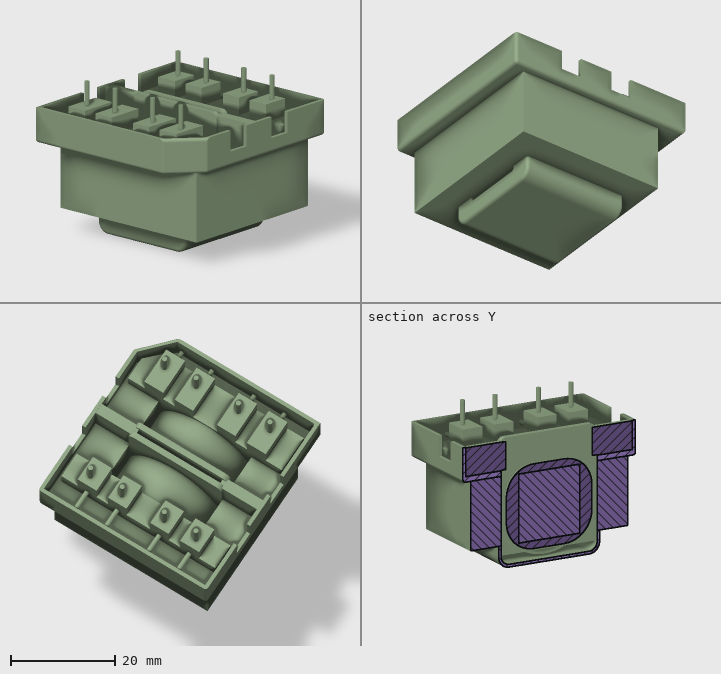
import cadquery as cq

TRAY_X = 38.25
TRAY_Y = 40.65
TOP_Z = 30.7

TRAY_BOTTOM = 18.4
TRAY_TOP = 25.5
TRAY_WALL = 0.77
FLOOR_Z = 19.65
TRAY_BEVEL = (5.85, 6.35)
EDGE_RADIUS = 0.65
INNER_CORNER_RADIUS = 0.4
NOTCH_BOTTOM = 21.3
NOTCH_WIDTH = 4.65
NOTCH_SPACING = 11.9

CORE_X = 34.8
CORE_Y = 32.3
CORE_OFFSET_Y = 1.077
CORE_BOTTOM = 4.47
LEG_WIDTH = 13.58

FLANGE_X = 21.15
FLANGE_THICKNESS = 1.18
FLANGE_GAP = 0.98
FLANGE_CORNER = 1.25
TUBE_X = 19.02
TUBE_Z = 17.07
TUBE_CORNER = 6.18
RIB_WIDTH = 2.2
RIB_TOP = 25.35

WINDING_RADIUS = 10.45
WINDING_END_Y = 9.15

BLOCK_X = 35.05
BLOCK_TOP = 25.95
STEP_TOP = 22.45
REAR_BLOCK_END = 14.65
FRONT_BLOCK_END = 16.95
END_PLATE_THICKNESS = 0.77
BLOCK_BEVEL = (3.0, 3.0)
OUTER_POST_X = 11.65
OUTER_POST_WIDTH = 4.3
INNER_POST_X = 4.8
INNER_POST_WIDTH = 4.2

PIN_DIAMETER = 0.98
OUTER_PIN_X = 12.0
PIN_OFFSET_X = 0.1
REAR_PIN_Y = 12.75
FRONT_PIN_Y = -13.65
LEAD_Z = 22.1
LEAD_END_Y = 19.25

COVER_X = 22.45
COVER_Y = 23.1
COVER_OFFSET_Y = 0.12
COVER_CORNER = 2.4
COVER_NOTCH_DEPTH = 0.95

AXIS_Z = (CORE_BOTTOM + TRAY_BOTTOM) / 2
FLANGE_OUTER_Y = FLANGE_GAP / 2 + FLANGE_THICKNESS
COVER_WALL = (COVER_X - FLANGE_X) / 2
WINDOW_END_Y = WINDING_END_Y + END_PLATE_THICKNESS
SIDES = (-1, 1)


def box(x_range, y_range, z_range):
    """A box given by its limits along each axis."""
    (x0, x1), (y0, y1), (z0, z1) = x_range, y_range, z_range
    return cq.Workplane("XY").box(x1 - x0, y1 - y0, z1 - z0, centered=False).translate((x0, y0, z0))


def centred(size):
    """The limits of a length centred on zero."""
    return (-size / 2, size / 2)


def beveled_outline(x_size, y_range, bevel, z):
    """A rectangle whose +X, -Y corner is cut off, with the given legs along X and Y."""
    bevel_x, bevel_y = bevel
    half = x_size / 2
    front, rear = y_range
    return cq.Workplane("XY").workplane(offset=z).polyline([
        (-half, front),
        (half - bevel_x, front),
        (half, front + bevel_y),
        (half, rear),
        (-half, rear),
    ]).close()


def winding_window(z_range):
    """The opening for the winding, its bobbin and the end plates."""
    return box(centred(FLANGE_X), centred(2 * WINDOW_END_Y), z_range)


def centre_leg():
    """The middle leg of the core, from end to end of the window."""
    return box(centred(LEG_WIDTH), centred(2 * WINDOW_END_Y), (CORE_BOTTOM, TRAY_BOTTOM))


def make_tray():
    tray = beveled_outline(TRAY_X, centred(TRAY_Y), TRAY_BEVEL, TRAY_BOTTOM).extrude(TRAY_TOP - TRAY_BOTTOM)

    mid_z = (TRAY_BOTTOM + TRAY_TOP) / 2
    bevel_x = TRAY_X / 2 - TRAY_BEVEL[0]
    bevel_y = TRAY_BEVEL[1] - TRAY_Y / 2
    bevel_edges = (
        (bevel_x, -TRAY_Y / 2, mid_z),
        (TRAY_X / 2, bevel_y, mid_z),
        ((bevel_x + TRAY_X / 2) / 2, (bevel_y - TRAY_Y / 2) / 2, TRAY_TOP),
    )
    rounded = tray.edges("|Z and >Y")
    for point in bevel_edges:
        rounded = rounded.add(tray.edges(cq.selectors.NearestToPointSelector(point)))
    tray = rounded.fillet(EDGE_RADIUS)
    tray = tray.faces("<Z").edges().fillet(EDGE_RADIUS)

    cavity = (
        beveled_outline(TRAY_X, centred(TRAY_Y), TRAY_BEVEL, FLOOR_Z)
        .offset2D(-TRAY_WALL, "intersection")
        .extrude(TRAY_TOP - FLOOR_Z)
        .edges("|Z and <X and <Y").fillet(INNER_CORNER_RADIUS)
    )
    tray = tray.cut(cavity).cut(winding_window((TRAY_BOTTOM, FLOOR_Z)))

    for side in SIDES:
        notch_y = CORE_OFFSET_Y + side * NOTCH_SPACING / 2
        y_range = (notch_y - NOTCH_WIDTH / 2, notch_y + NOTCH_WIDTH / 2)
        tray = tray.cut(box(centred(TRAY_X), y_range, (NOTCH_BOTTOM, TRAY_TOP)))
    return tray


def make_core():
    z_range = (CORE_BOTTOM, TRAY_BOTTOM)
    y_range = (CORE_OFFSET_Y - CORE_Y / 2, CORE_OFFSET_Y + CORE_Y / 2)
    core = box(centred(CORE_X), y_range, z_range).cut(winding_window(z_range))
    return core.union(centre_leg())


def tube_body():
    """The bobbin tube as a solid bar, without its bore."""
    z_range = (AXIS_Z - TUBE_Z / 2, AXIS_Z + TUBE_Z / 2)
    bar = box(centred(TUBE_X), centred(2 * WINDING_END_Y), z_range)
    return bar.edges("|Y").fillet(TUBE_CORNER)


def make_bobbin():
    bobbin = tube_body()
    for side in SIDES:
        y_range = sorted((side * FLANGE_GAP / 2, side * FLANGE_OUTER_Y))
        flange = box(centred(FLANGE_X), y_range, (COVER_CORNER, BLOCK_TOP))
        bobbin = bobbin.union(flange.edges("|Y and >Z").fillet(FLANGE_CORNER))

    rib_end = TRAY_X / 2 - TRAY_WALL
    for x_range in ((-rib_end, -TUBE_X / 2), (TUBE_X / 2, rib_end)):
        bobbin = bobbin.union(box(x_range, centred(RIB_WIDTH), (FLOOR_Z, RIB_TOP)))
    return bobbin.cut(centre_leg())


def make_winding(side):
    """The winding between a flange and the end of the tube on the given side in Y."""
    start = min(side * FLANGE_OUTER_Y, side * WINDING_END_Y)
    length = WINDING_END_Y - FLANGE_OUTER_Y
    cylinder = cq.Workplane("XZ", origin=(0, start, AXIS_Z)).circle(WINDING_RADIUS).extrude(-length)
    return cylinder.cut(tube_body())


def make_terminal_block(side):
    """A stepped block with four posts, each with an upright pin and a lead towards the tray wall."""
    if side > 0:
        block_end = REAR_BLOCK_END
        pin_y = REAR_PIN_Y
        y_range = (WINDING_END_Y, block_end)
        block = box(centred(BLOCK_X), y_range, (FLOOR_Z, STEP_TOP))
    else:
        block_end = FRONT_BLOCK_END
        pin_y = FRONT_PIN_Y
        y_range = (-block_end, -WINDING_END_Y)
        block = beveled_outline(BLOCK_X, y_range, BLOCK_BEVEL, FLOOR_Z).extrude(STEP_TOP - FLOOR_Z)

    plate_y = sorted((side * WINDING_END_Y, side * WINDOW_END_Y))
    plate = box(centred(FLANGE_X), plate_y, (COVER_CORNER, FLOOR_Z))
    block = block.union(plate.cut(centre_leg()))

    for x_side in SIDES:
        for post_x, post_width, pin_x in (
            (OUTER_POST_X, OUTER_POST_WIDTH, OUTER_PIN_X),
            (INNER_POST_X, INNER_POST_WIDTH, INNER_POST_X),
        ):
            centre = x_side * post_x
            x_range = (centre - post_width / 2, centre + post_width / 2)
            post = box(x_range, y_range, (STEP_TOP, BLOCK_TOP))
            pin = (
                cq.Workplane("XY", origin=(x_side * pin_x + PIN_OFFSET_X, pin_y, BLOCK_TOP))
                .circle(PIN_DIAMETER / 2).extrude(TOP_Z - BLOCK_TOP)
            )
            lead = (
                cq.Workplane("XZ", origin=(centre, side * block_end, LEAD_Z))
                .circle(PIN_DIAMETER / 2).extrude(-side * (LEAD_END_Y - block_end))
            )
            block = block.union(post).union(pin).union(lead)
    return block


def make_cover():
    cover = box(centred(COVER_X), centred(COVER_Y), (0, CORE_BOTTOM))
    cover = cover.edges("|Y and <Z").fillet(COVER_CORNER)
    cover = cover.faces("<Y or >Y").edges("not >Z").fillet(EDGE_RADIUS)

    inner_y = COVER_Y - 2 * COVER_WALL
    cavity = box(centred(FLANGE_X), centred(inner_y), (COVER_WALL, CORE_BOTTOM))
    cover = cover.cut(cavity.edges("|Y and <Z").fillet(COVER_CORNER - COVER_WALL))

    notch = box(centred(LEG_WIDTH), centred(COVER_Y), (CORE_BOTTOM - COVER_NOTCH_DEPTH, CORE_BOTTOM))
    cover = cover.cut(notch.edges("|Y and <Z").fillet(EDGE_RADIUS))
    return cover.translate((0, COVER_OFFSET_Y, 0))


tray = make_tray()
core = make_core()
bobbin = make_bobbin()
cover = make_cover()
windings = [make_winding(side) for side in SIDES]
terminal_blocks = [make_terminal_block(side) for side in SIDES]

result = cq.Compound.makeCompound([
    tray.val(),
    core.val(),
    bobbin.val(),
    cover.val(),
    *[winding.val() for winding in windings],
    *[block.val() for block in terminal_blocks],
])